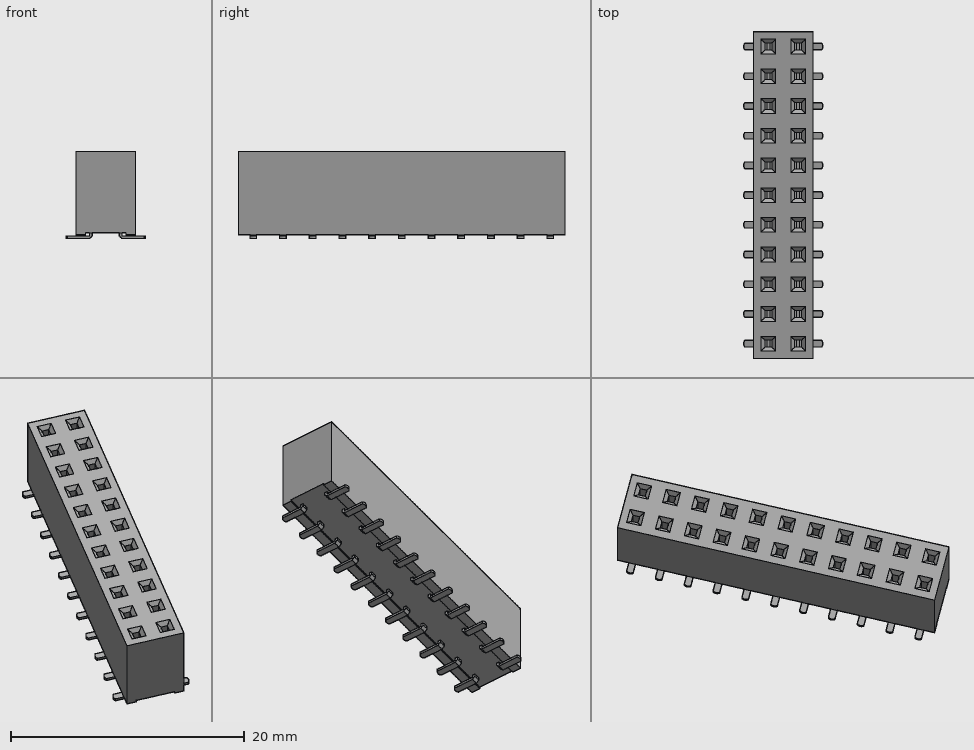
import cadquery as cq

length = 27.95
rows = 11
pitch = length / rows

body_width = 5.1
total_height = 7.45
body_bottom = 0.34
rail_width = 0.85
rail_depth = 0.17

mouth_size = 1.25
bore_size = 0.6
mouth_depth = 0.34
bore_depth = 4.2
bore_floor = total_height - bore_depth

lead_span = 6.8
lead_thickness = 0.25
lead_width = 0.6
post_height_in_bore = 0.28
tip_bulge = 0.1

contact_x = pitch / 2
contact_points = [
    (contact_x * side, (row - (rows - 1) / 2) * pitch)
    for side in (-1, 1)
    for row in range(rows)
]


def make_housing():
    """Block with a shallow channel underneath, leaving a standing rail on each long side."""
    body_height = total_height - body_bottom
    block = cq.Workplane("XY").box(body_width, length, body_height, centered=(True, True, False))
    channel_width = body_width - 2 * rail_width
    channel = cq.Workplane("XY").box(channel_width, length, rail_depth, centered=(True, True, False))
    return block.cut(channel).translate((0, 0, body_bottom))


def make_opening():
    """Square funnel leading into a blind square bore, centred on the Z axis."""
    funnel = (
        cq.Workplane("XY", origin=(0, 0, total_height))
        .rect(mouth_size, mouth_size)
        .workplane(offset=-mouth_depth)
        .rect(bore_size, bore_size)
        .loft()
    )
    bore = (
        cq.Workplane("XY", origin=(0, 0, bore_floor))
        .rect(bore_size, bore_size)
        .extrude(bore_depth - mouth_depth)
    )
    return funnel.union(bore)


def make_lead():
    """Lead at Y = 0 on the +X side: a post bevelled at the bend and a foot with a bowed tip."""
    inner_x = contact_x - lead_thickness / 2
    outer_x = contact_x + lead_thickness / 2
    post_top = bore_floor + post_height_in_bore
    post = (
        cq.Workplane("XZ")
        .moveTo(outer_x, 0)
        .lineTo(outer_x, post_top)
        .lineTo(inner_x, post_top)
        .lineTo(inner_x, lead_thickness)
        .close()
        .extrude(lead_width / 2, both=True)
    )
    tip_start = lead_span / 2 - tip_bulge
    foot = (
        cq.Workplane("XY")
        .moveTo(outer_x, -lead_width / 2)
        .lineTo(tip_start, -lead_width / 2)
        .threePointArc((lead_span / 2, 0), (tip_start, lead_width / 2))
        .lineTo(outer_x, lead_width / 2)
        .close()
        .extrude(lead_thickness)
    )
    return post.union(foot)


def place_openings(opening):
    """One opening at every contact position."""
    shape = opening.val()
    return [shape.translate(cq.Vector(x, y, 0)) for x, y in contact_points]


def place_leads(lead):
    """One lead per contact, each foot pointing away from the centre line."""
    right_lead = lead.val()
    left_lead = right_lead.mirror("YZ")
    leads = []
    for x, y in contact_points:
        shape = right_lead if x > 0 else left_lead
        leads.append(shape.translate(cq.Vector(0, y, 0)))
    return leads


housing = make_housing().val().cut(*place_openings(make_opening()))
result = cq.Workplane("XY").newObject([housing.fuse(*place_leads(make_lead()))])